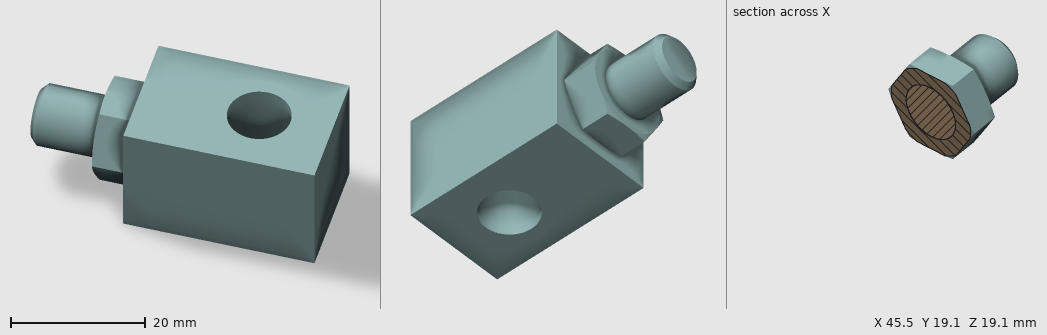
import cadquery as cq
import math

overall_length = 45.45
block_side = 19.05
stud_exposed_length = 15.95
block_length = overall_length - stud_exposed_length

stud_diameter = 9.5
stud_chamfer = 0.95

nut_across_flats = 14.2
nut_across_corners = nut_across_flats / math.cos(math.radians(30))
nut_thickness = 5.5
nut_chamfer_angle = 15.0
nut_start = stud_exposed_length - nut_thickness

bushing_outer_diameter = 12.7
bushing_bore_diameter = 9.65
bushing_end_distance = 11.25
bushing_x = overall_length - bushing_end_distance


def make_stud_block():
    """Square block with an integral chamfered stud and a seat for the bushing."""
    block = cq.Workplane("XY").box(block_length, block_side, block_side)
    block = block.translate((stud_exposed_length + block_length / 2, 0, 0))
    stud = (
        cq.Workplane("YZ")
        .circle(stud_diameter / 2)
        .extrude(stud_exposed_length)
        .faces("<X")
        .chamfer(stud_chamfer)
    )
    seat = (
        cq.Workplane("XY", origin=(bushing_x, 0, -block_side / 2))
        .circle(bushing_outer_diameter / 2)
        .extrude(block_side)
    )
    return block.union(stud).cut(seat)


def make_nut():
    """Hex nut with corners toward +Y and -Y, chamfered by cones at both ends."""
    blank = (
        cq.Workplane("YZ", origin=(nut_start, 0, 0))
        .polygon(6, nut_across_corners)
        .circle(stud_diameter / 2)
        .extrude(nut_thickness)
    )
    flat_radius = nut_across_flats / 2
    corner_radius = nut_across_corners / 2
    chamfer_depth = (corner_radius - flat_radius) * math.tan(math.radians(nut_chamfer_angle))
    nut_end = nut_start + nut_thickness
    envelope = (
        cq.Workplane("XY")
        .moveTo(nut_start, 0)
        .lineTo(nut_start, flat_radius)
        .lineTo(nut_start + chamfer_depth, corner_radius)
        .lineTo(nut_end - chamfer_depth, corner_radius)
        .lineTo(nut_end, flat_radius)
        .lineTo(nut_end, 0)
        .close()
        .revolve(360, (0, 0, 0), (1, 0, 0))
    )
    return blank.intersect(envelope)


def make_bushing():
    """Plain sleeve through the block, flush with its top and bottom."""
    return (
        cq.Workplane("XY", origin=(bushing_x, 0, -block_side / 2))
        .circle(bushing_outer_diameter / 2)
        .circle(bushing_bore_diameter / 2)
        .extrude(block_side)
    )


stud_block = make_stud_block()
nut = make_nut()
bushing = make_bushing()

bodies = [body.solids().val() for body in (stud_block, nut, bushing)]
result = cq.Compound.makeCompound(bodies)